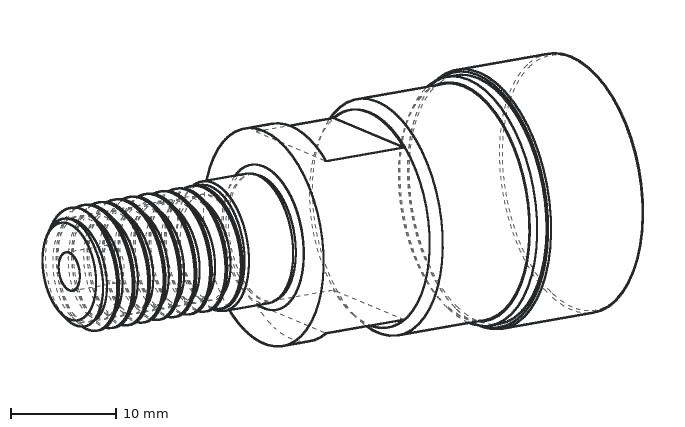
import cadquery as cq
import math

overall_length = 57.0

head_radius = 12.5
head_length = 10.75
head_chamfer = 0.2

collar_radius = 12.0
collar_end = 12.3
collar_chamfer = 0.5

body_radius = 11.4
wrench_radius = 10.5
wrench_start = 23.0
body_end = 22.1
shoulder_station = 35.0

across_flats = 17.0
flat_start = 23.1
flat_end = 31.9

pilot_radius = 6.25
pilot_end = 41.0
undercut_neck_radius = 6.1
undercut_face_radius = 7.0
undercut_arc_radius = 0.5
undercut_end = 35.7
pilot_chamfer = 0.3

thread_radius = 6.0
pitch = 1.75
thread_height = 5 / 8 * pitch * math.sqrt(3) / 2
core_radius = thread_radius - thread_height
crest_width = pitch / 8
flank_angle = math.radians(30)
tip_radius = 4.7
ridge_embed = 0.1
core_overrun = 3 * pitch
top_crest_station = 41.8

hole_radius = 1.85
hole_depth = 5.0
drill_point_angle = math.radians(118)


def revolve_about_y(profile):
    """Revolve a closed (radius, Y) outline about the Y axis."""
    return profile.close().revolve(360, (0, 0, 0), (0, 1, 0))


def turned_body():
    """Head, collar, wrench section and pilot, with the undercut at the pilot root."""
    arc_overlap = undercut_face_radius - undercut_neck_radius - undercut_arc_radius
    arc_center_station = shoulder_station + math.sqrt(undercut_arc_radius**2 - arc_overlap**2)
    profile = (
        cq.Workplane("ZY")
        .moveTo(0, 0)
        .lineTo(head_radius - head_chamfer, 0)
        .lineTo(head_radius, -head_chamfer)
        .lineTo(head_radius, -(head_length - head_chamfer))
        .lineTo(head_radius - head_chamfer, -head_length)
        .lineTo(collar_radius, -head_length)
        .lineTo(collar_radius, -(collar_end - collar_chamfer))
        .lineTo(collar_radius - collar_chamfer, -collar_end)
        .lineTo(body_radius, -collar_end)
        .lineTo(body_radius, -body_end)
        .lineTo(wrench_radius, -wrench_start)
        .lineTo(wrench_radius, -shoulder_station)
        .lineTo(undercut_face_radius, -shoulder_station)
        .radiusArc((undercut_neck_radius, -arc_center_station), -undercut_arc_radius)
        .lineTo(pilot_radius, -undercut_end)
        .lineTo(pilot_radius, -(pilot_end - pilot_chamfer))
        .lineTo(pilot_radius - pilot_chamfer, -pilot_end)
        .lineTo(0, -pilot_end)
    )
    return revolve_about_y(profile)


def thread_ridge():
    """Helical ridge that overruns both ends of the stud and sinks into its core."""
    inner_radius = core_radius - ridge_embed
    half_crest = crest_width / 2
    half_root = half_crest + (thread_radius - inner_radius) * math.tan(flank_angle)
    ridge_start = top_crest_station - 2 * pitch
    ridge_length = overall_length + pitch - ridge_start
    helix = cq.Wire.makeHelix(pitch, ridge_length, inner_radius)
    ridge = (
        cq.Workplane("XZ")
        .moveTo(inner_radius, -half_root)
        .lineTo(thread_radius, -half_crest)
        .lineTo(thread_radius, half_crest)
        .lineTo(inner_radius, half_root)
        .close()
        .sweep(cq.Workplane(obj=helix), isFrenet=True)
    )
    return (
        ridge.rotate((0, 0, 0), (0, 0, 1), 90)
        .rotate((0, 0, 0), (1, 0, 0), 90)
        .translate((0, -ridge_start, 0))
    )


def stud_envelope():
    """Turned blank, wider than the thread, that trims it to length and chamfers the tip."""
    chamfer = pilot_radius - tip_radius
    profile = (
        cq.Workplane("ZY")
        .moveTo(0, -pilot_end)
        .lineTo(pilot_radius, -pilot_end)
        .lineTo(pilot_radius, -(overall_length - chamfer))
        .lineTo(tip_radius, -overall_length)
        .lineTo(0, -overall_length)
    )
    return revolve_about_y(profile)


def threaded_stud():
    """Threaded rod, made too long at both ends, trimmed by the stud envelope."""
    core_start = pilot_end - core_overrun
    core_length = overall_length + core_overrun - core_start
    core = cq.Workplane("XZ", origin=(0, -core_start, 0)).circle(core_radius).extrude(core_length)
    return core.union(thread_ridge()).intersect(stud_envelope())


def wrench_flat_cutter(side):
    """Block that cuts one flat; side is +1 for +Z and -1 for -Z."""
    flat_length = flat_end - flat_start
    block_height = head_radius
    return cq.Workplane("XY").box(2 * head_radius, flat_length, block_height).translate(
        (0, -(flat_start + flat_end) / 2, side * (across_flats + block_height) / 2)
    )


def tip_hole():
    """Drilled hole with a conical bottom."""
    point_length = hole_radius / math.tan(drill_point_angle / 2)
    hole_bottom = -(overall_length - hole_depth)
    profile = (
        cq.Workplane("ZY")
        .moveTo(0, -overall_length)
        .lineTo(hole_radius, -overall_length)
        .lineTo(hole_radius, hole_bottom)
        .lineTo(0, hole_bottom + point_length)
    )
    return revolve_about_y(profile)


result = turned_body().union(threaded_stud())
for flat_side in (1, -1):
    result = result.cut(wrench_flat_cutter(flat_side))
result = result.cut(tip_hole())